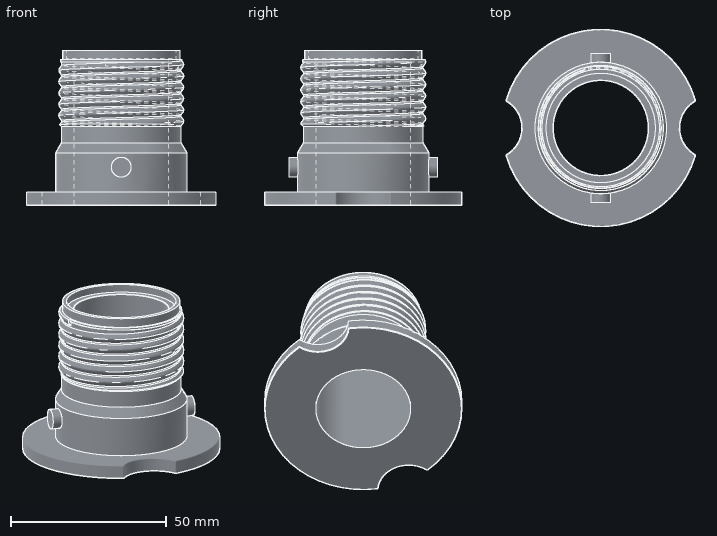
import cadquery as cq
import math

flange_radius = 31.635
flange_thickness = 4.4
flange_edge_fillet = 0.4
bottom_edge_chamfer = 0.2
notch_radius = 9.8
notch_floor_x = 25.3
notch_corner_fillet = 0.45

body_radius = 42.16 / 2
body_top = 16.9
neck_radius = 38.4 / 2
neck_bottom = 20.1
rim_radius = 37.65 / 2
rim_bottom = 46.8
total_height = 49.71

bore_radius = 15.2
bore_edge_break = 0.12
counterbore_radius = 35.05 / 2
counterbore_depth = 2.54

pin_radius = 6.35 / 2
pin_tip_y = 23.85
pin_height = 12.3

millimetres_per_inch = 25.4
threads_per_inch = 7
thread_pitch = millimetres_per_inch / threads_per_inch
thread_crest_radius = 20.05
thread_bottom = 25.35
thread_end_angle = 105.0
thread_end_crest_height = 46.2
thread_turns = 7
ridge_foot_half_width = 0.46 * thread_pitch
ridge_foot_sink = 0.08
ridge_embed_radius = 18.4
stretch_margin = 1.0

collar_radius = 19.4
collar_bottom = 46.05


def make_flange():
    notch_centre_x = notch_floor_x + notch_radius
    flange = cq.Workplane("XY").circle(flange_radius).extrude(flange_thickness)
    notches = (
        cq.Workplane("XY")
        .pushPoints([(-notch_centre_x, 0), (notch_centre_x, 0)])
        .circle(notch_radius)
        .extrude(flange_thickness)
    )
    flange = flange.cut(notches)
    flange = flange.edges("|Z").edges(">Y or <Y").fillet(notch_corner_fillet)
    flange = flange.faces(">Z").edges().fillet(flange_edge_fillet)
    return flange.faces("<Z").edges().chamfer(bottom_edge_chamfer)


def make_body():
    return (
        cq.Workplane("XZ")
        .lineTo(body_radius, 0)
        .lineTo(body_radius, body_top)
        .lineTo(neck_radius, neck_bottom)
        .lineTo(neck_radius, thread_bottom)
        .lineTo(0, thread_bottom)
        .close()
        .revolve(360, (0, 0, 0), (0, 1, 0))
    )


def make_rim():
    rim = cq.Workplane("XY", origin=(0, 0, rim_bottom))
    return rim.circle(rim_radius).extrude(total_height - rim_bottom)


def make_ridge():
    sweep_height = thread_turns * thread_pitch
    flank_radius = (thread_crest_radius + neck_radius) / 2
    quarter = thread_pitch / 4
    foot_radius = neck_radius - ridge_foot_sink
    crest_rise = thread_crest_radius - flank_radius
    crest_arc_radius = (quarter**2 + crest_rise**2) / (2 * crest_rise)
    half_angle = math.asin(quarter / crest_arc_radius) / 2
    mid_z = crest_arc_radius * math.sin(half_angle)
    mid_radius = thread_crest_radius - crest_arc_radius * (1 - math.cos(half_angle))
    ridge_profile = (
        cq.Workplane("XZ")
        .moveTo(ridge_embed_radius, -ridge_foot_half_width)
        .lineTo(foot_radius, -ridge_foot_half_width)
        .lineTo(flank_radius, -quarter)
        .threePointArc((mid_radius, -mid_z), (thread_crest_radius, 0))
        .threePointArc((mid_radius, mid_z), (flank_radius, quarter))
        .lineTo(foot_radius, ridge_foot_half_width)
        .lineTo(ridge_embed_radius, ridge_foot_half_width)
        .close()
    )
    helix = cq.Wire.makeHelix(thread_pitch, sweep_height, neck_radius)
    ridge = ridge_profile.sweep(cq.Workplane(obj=helix), isFrenet=True)
    return ridge.rotate((0, 0, 0), (0, 0, 1), thread_end_angle).translate(
        (0, 0, thread_end_crest_height - sweep_height)
    )


def make_ridged_cylinder(ridge, radius, bottom, top):
    core = cq.Workplane("XY").circle(radius).extrude(total_height)
    outer_radius = thread_crest_radius + stretch_margin
    stretch = cq.Workplane("XY", origin=(0, 0, bottom)).circle(outer_radius).extrude(top - bottom)
    return core.union(ridge).intersect(stretch)


def make_thread():
    ridge = make_ridge()
    lower = make_ridged_cylinder(ridge, neck_radius, thread_bottom, collar_bottom)
    collar = make_ridged_cylinder(ridge, collar_radius, collar_bottom, rim_bottom)
    return lower.intersect(make_runout_cone()).union(collar, clean=False)


def make_runout_cone():
    top_radius = neck_radius + rim_bottom - thread_bottom
    return (
        cq.Workplane("XZ")
        .moveTo(0, thread_bottom)
        .lineTo(neck_radius, thread_bottom)
        .lineTo(top_radius, rim_bottom)
        .lineTo(0, rim_bottom)
        .close()
        .revolve(360, (0, 0, 0), (0, 1, 0))
    )


def make_pins():
    return (
        cq.Workplane("XZ", origin=(0, 0, pin_height))
        .circle(pin_radius)
        .extrude(pin_tip_y, both=True)
    )


def make_bore():
    floor = total_height - counterbore_depth
    return (
        cq.Workplane("XZ")
        .lineTo(bore_radius, 0)
        .lineTo(bore_radius, floor - bore_edge_break)
        .lineTo(bore_radius + bore_edge_break, floor)
        .lineTo(counterbore_radius, floor)
        .lineTo(counterbore_radius, total_height)
        .lineTo(0, total_height)
        .close()
        .revolve(360, (0, 0, 0), (0, 1, 0))
    )


result = (
    make_thread()
    .union(make_body())
    .union(make_rim())
    .union(make_flange())
    .union(make_pins())
    .cut(make_bore())
)